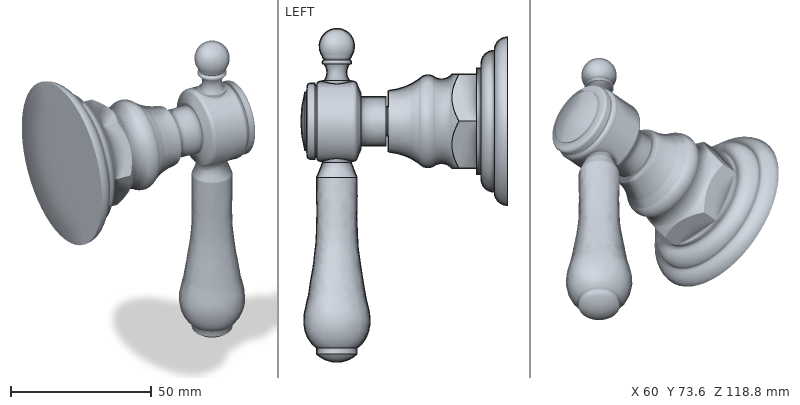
import cadquery as cq
import math


flange_radius = 60.0 / 2
tier_height = 4.8
tier_radius = flange_radius - tier_height
collar_radius = 18.9
collar_top = 11.0

nut_flats = 33.5
nut_corner_radius = nut_flats / 2 / math.cos(math.radians(30))
nut_chamfer_start = 17.3
nut_top = 20.4
nut_top_radius = 16.2

waist_y = 23.0
waist_radius = 15.1
bead_start_y = 25.8
bead_end_y = 31.5
bead_start_radius = 15.5
bead_radius = 16.5
bead_end_radius = 15.1
taper_end_y = 34.3
taper_end_radius = 13.3
bell_end_y = 41.8
bell_end_radius = 11.0
bell_hollow = 0.4
body_end_y = 42.5
body_edge = 0.2

gap_radius = 5.2
stem_start_y = 43.2
stem_radius = 8.8

hub_start_y = 52.1
hub_face_radius = 9.7
hub_edge_y = 53.7
hub_edge_radius = 13.4
hub_radius = 14.2
hub_straight_start_y = 55.5
hub_straight_end_y = 66.0
hub_end_y = 67.9
hub_end_radius = 13.5

cap_gap_radius = 12.8
cap_start_y = 68.6
cap_radius = 13.5
cap_straight_end_y = 70.4
cap_rim_radius = 12.4
cap_rim_y = 71.4
button_radius = 10.3
button_base_y = 71.6
button_edge_y = 72.2
button_top_y = 73.6

cross_axis_y = 60.8
ball_radius = 6.3
ball_center_z = 26.7
ball_joint_z = 23.3
ball_neck_z = 21.8
ball_neck_radius = 4.4
throat_bulge = 0.6
ring_radius = 5.2
ring_middle_z = 20.9
ring_edge_radius = 5.0
ring_bottom_z = 20.3
finial_neck_radius = 3.6
finial_neck_z = 17.2
finial_neck_end_radius = 4.5
finial_foot_radius = 5.1
finial_foot_z = 14.5

lever_root_radius = 5.1
lever_root_z = -14.6
grip_radius = 7.2
grip_start_z = -20.1
grip_band_end_z = -22.5
swell_points = [
    (7.2, -33.2),
    (7.6, -44.3),
    (9.0, -54.5),
    (10.6, -63.5),
    (11.9, -70.7),
    (11.3, -74.9),
    (9.1, -79.0),
]
end_disc_start_z = -80.6
end_disc_end_z = -82.8
end_dome_radius = 6.8
end_dome_z = -83.2
total_height = 118.8
lever_end_z = ball_center_z + ball_radius - total_height


def point_on_round(start, end):
    """Middle of a quarter round that leaves start along the axis and bulges outward towards end."""
    half = math.sqrt(0.5)
    return (end[0] + (start[0] - end[0]) * half, start[1] + (end[1] - start[1]) * half)


def dome_middle(edge, apex_height):
    """Point on the dome between its edge and its apex on the axis."""
    sag = apex_height - edge[1]
    sphere_radius = (edge[0] ** 2 + sag ** 2) / (2 * sag)
    radius = edge[0] / 2
    center_to_point = math.copysign(math.sqrt(sphere_radius ** 2 - radius ** 2), sag)
    return (radius, apex_height - sphere_radius + center_to_point)


def turn_about_y(outline):
    """Turn a closed (radius, Y) outline about the Y axis."""
    return outline.close().revolve(360, (0, 0, 0), (0, 1, 0))


def turn_about_cross_axis(outline):
    """Turn a closed (radius, Z) outline about Z and move it to the hub centre."""
    return outline.close().revolve(360, (0, 0, 0), (0, 1, 0)).translate((0, cross_axis_y, 0))


def make_flange():
    edge = (flange_radius, 0)
    step = (tier_radius, tier_height)
    tier_top = (tier_radius - tier_height, 2 * tier_height)
    return turn_about_y(
        cq.Workplane("XY")
        .lineTo(*edge)
        .threePointArc(point_on_round(edge, step), step)
        .threePointArc(point_on_round(step, tier_top), tier_top)
        .lineTo(collar_radius, 2 * tier_height)
        .lineTo(collar_radius, collar_top)
        .lineTo(0, collar_top)
    )


def make_nut():
    hexagon = (
        cq.Workplane("XZ", origin=(0, collar_top, 0))
        .polygon(6, 2 * nut_corner_radius)
        .extrude(collar_top - nut_top)
    )
    chamfer_envelope = turn_about_y(
        cq.Workplane("XY")
        .lineTo(nut_corner_radius, 0)
        .lineTo(nut_corner_radius, nut_chamfer_start)
        .lineTo(nut_top_radius, nut_top)
        .lineTo(0, nut_top)
    )
    return hexagon.intersect(chamfer_envelope)


def make_body():
    bead_middle = (bead_radius, (bead_start_y + bead_end_y) / 2)
    bell_middle = ((taper_end_radius + bell_end_radius) / 2 - bell_hollow, (taper_end_y + bell_end_y) / 2)
    return turn_about_y(
        cq.Workplane("XY")
        .moveTo(0, collar_top)
        .lineTo(waist_radius, collar_top)
        .lineTo(waist_radius, nut_top)
        .lineTo(nut_top_radius, nut_top)
        .threePointArc((waist_radius, waist_y), (bead_start_radius, bead_start_y))
        .threePointArc(bead_middle, (bead_end_radius, bead_end_y))
        .lineTo(taper_end_radius, taper_end_y)
        .threePointArc(bell_middle, (bell_end_radius, bell_end_y))
        .lineTo(bell_end_radius - body_edge, body_end_y)
        .lineTo(gap_radius, body_end_y)
        .lineTo(gap_radius, stem_start_y)
        .lineTo(stem_radius, stem_start_y)
        .lineTo(stem_radius, hub_start_y)
        .lineTo(0, hub_start_y)
    )


def make_hub():
    face_edge = (hub_edge_radius, hub_edge_y)
    straight_start = (hub_radius, hub_straight_start_y)
    straight_end = (hub_radius, hub_straight_end_y)
    hub_end = (hub_end_radius, hub_end_y)
    cap_edge = (cap_radius, cap_straight_end_y)
    cap_rim = (cap_rim_radius, cap_rim_y)
    button_edge = (button_radius, button_edge_y)
    return turn_about_y(
        cq.Workplane("XY")
        .moveTo(0, hub_start_y)
        .lineTo(hub_face_radius, hub_start_y)
        .lineTo(*face_edge)
        .threePointArc(point_on_round(straight_start, face_edge), straight_start)
        .lineTo(*straight_end)
        .threePointArc(point_on_round(straight_end, hub_end), hub_end)
        .lineTo(cap_gap_radius, hub_end_y)
        .lineTo(cap_gap_radius, cap_start_y)
        .lineTo(cap_radius, cap_start_y)
        .lineTo(*cap_edge)
        .threePointArc(point_on_round(cap_edge, cap_rim), cap_rim)
        .lineTo(button_radius, button_base_y)
        .lineTo(*button_edge)
        .threePointArc(dome_middle(button_edge, button_top_y), (0, button_top_y))
    )


def make_finial():
    joint_radius = math.sqrt(ball_radius ** 2 - (ball_center_z - ball_joint_z) ** 2)
    throat_middle = (ball_neck_radius + throat_bulge, (ball_joint_z + ball_neck_z) / 2)
    return turn_about_cross_axis(
        cq.Workplane("XZ")
        .lineTo(finial_foot_radius, 0)
        .lineTo(finial_foot_radius, finial_foot_z)
        .lineTo(finial_neck_end_radius, finial_foot_z)
        .threePointArc((finial_neck_radius, finial_neck_z), (finial_neck_end_radius, ring_bottom_z))
        .lineTo(ring_edge_radius, ring_bottom_z)
        .threePointArc((ring_radius, ring_middle_z), (ball_neck_radius, ball_neck_z))
        .threePointArc(throat_middle, (joint_radius, ball_joint_z))
        .threePointArc((ball_radius, ball_center_z), (0, ball_center_z + ball_radius))
    )


def make_lever():
    dome_edge = (end_dome_radius, end_dome_z)
    return turn_about_cross_axis(
        cq.Workplane("XZ")
        .lineTo(lever_root_radius, 0)
        .lineTo(lever_root_radius, lever_root_z)
        .lineTo(grip_radius, grip_start_z)
        .lineTo(grip_radius, grip_band_end_z)
        .spline(swell_points + [(grip_radius, end_disc_start_z)], includeCurrent=True)
        .lineTo(grip_radius, end_disc_end_z)
        .lineTo(*dome_edge)
        .threePointArc(dome_middle(dome_edge, lever_end_z), (0, lever_end_z))
    )


result = (
    make_flange()
    .union(make_nut())
    .union(make_body())
    .union(make_hub())
    .union(make_finial())
    .union(make_lever())
)